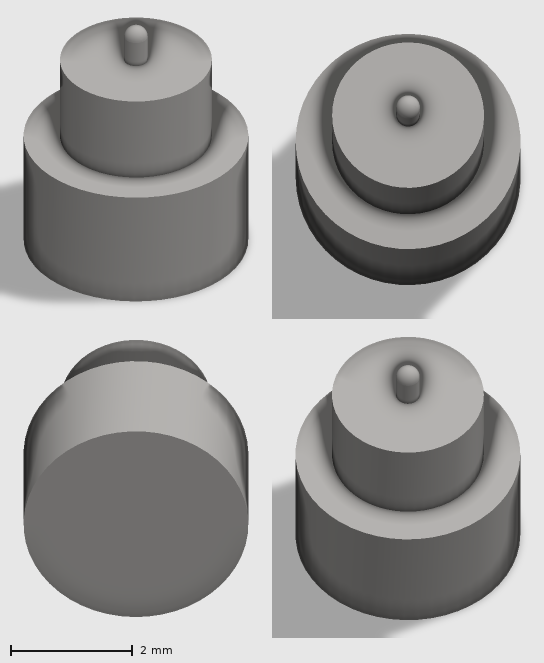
import cadquery as cq

total_height = 4.2
base_diameter = 3.7
base_height = 2.05
collar_diameter = 2.5
collar_height = 1.5
insulator_diameter = 1.95
pin_diameter = 0.39

pin_radius = pin_diameter / 2
collar_top = base_height + collar_height
dome_start = total_height - pin_radius


def make_shell():
    """Stepped round body with a flat-bottomed recess for the insulator in its collar."""
    base = cq.Workplane("XY").circle(base_diameter / 2).extrude(base_height)
    collar = (
        cq.Workplane("XY")
        .workplane(offset=base_height)
        .circle(collar_diameter / 2)
        .circle(insulator_diameter / 2)
        .extrude(collar_height)
    )
    return base.union(collar)


def make_insulator():
    """Disc that fills the collar recess flush with the collar's top face."""
    return (
        cq.Workplane("XY")
        .workplane(offset=base_height)
        .circle(insulator_diameter / 2)
        .extrude(collar_height)
    )


def make_pin():
    """Centre contact: a straight shank with a hemispherical tip."""
    shank = (
        cq.Workplane("XY")
        .workplane(offset=collar_top)
        .circle(pin_radius)
        .extrude(dome_start - collar_top)
    )
    tip = (
        cq.Workplane("XZ")
        .moveTo(0, dome_start)
        .lineTo(pin_radius, dome_start)
        .radiusArc((0, total_height), -pin_radius)
        .close()
        .revolve(360, (0, 0, 0), (0, 1, 0))
    )
    return shank.union(tip)


result = make_shell().union(make_insulator(), clean=False).union(make_pin(), clean=False)